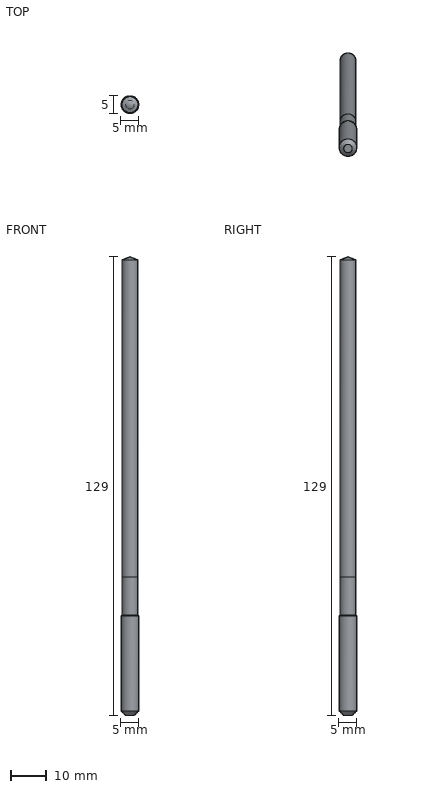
import cadquery as cq
import math

overall_length = 129.0
shank_diameter = 5.0
shank_length = 28.0
shank_bevel = 1.3
drill_diameter = 4.5
neck_end_z = 39.0
point_angle = 137.0

shank_radius = shank_diameter / 2
shank_end_radius = shank_radius - shank_bevel
drill_radius = drill_diameter / 2
shoulder_height = shank_radius - drill_radius
point_height = drill_radius / math.tan(math.radians(point_angle / 2))
point_base_z = overall_length - point_height


def turned(profile):
    """Revolve a closed (radius, z) profile around the Z axis."""
    return cq.Workplane("XZ").polyline(profile).close().revolve(360, (0, 0), (0, 1))


shank = turned([
    (0, 0),
    (shank_end_radius, 0),
    (shank_radius, shank_bevel),
    (shank_radius, shank_length),
    (drill_radius, shank_length + shoulder_height),
    (drill_radius, neck_end_z),
    (0, neck_end_z),
])

cutting_part = turned([
    (0, neck_end_z),
    (drill_radius, neck_end_z),
    (drill_radius, point_base_z),
    (0, overall_length),
])

result = cq.Compound.makeCompound([shank.val(), cutting_part.val()])